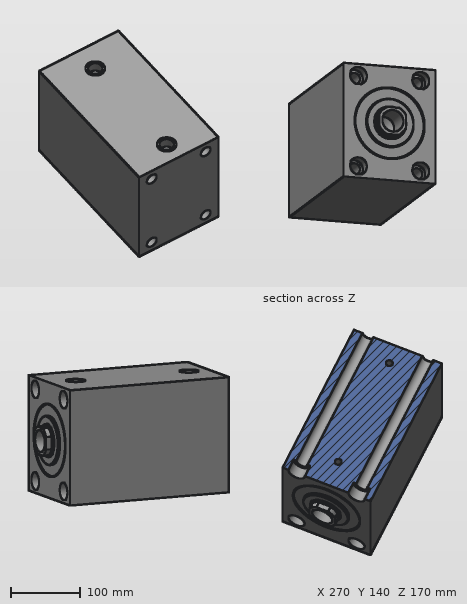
import cadquery as cq

OVERALL_LENGTH = 270.0

LENGTH = 255.0
WIDTH = 140.0
HEIGHT = 170.0
EDGE_CHAMFER = 0.5

BOLT_SPACING_Y = 95.0
BOLT_SPACING_Z = 135.0
BOLT_DIAMETER = 17.0
BOLT_HEAD_DIAMETER = 25.6
BOLT_HEAD_DEPTH = 19.0

PORT_POSITIONS = (42.0, 224.0)
SPOT_FACE_DIAMETER = 28.0
SPOT_FACE_DEPTH = 0.3
PORT_DIAMETER = 21.0
PORT_DEPTH = 16.2
PASSAGE_DIAMETER = 9.2

BORE_DIAMETER = 100.0
BORE_END = 239.8
GLAND_DIAMETER = 104.5
GLAND_LENGTH = PORT_POSITIONS[0]
SEAT_CHAMFER = 1.4

COLLAR_DIAMETER = 72.0
COLLAR_HEIGHT = 3.5
COLLAR_CHAMFER = 1.0
WIPER_DIAMETER = 48.5
WIPER_DEPTH = 2.7

ROD_DIAMETER = 45.0
HEAD_DIAMETER = 44.5
ROD_OVERHANG = OVERALL_LENGTH - LENGTH
FLATS_LENGTH = 9.2
ACROSS_FLATS = 40.5
SOCKET_DIAMETER = 32.0
SOCKET_DEPTH = 43.2
SOCKET_TIP_DEPTH = 9.2


def cylinder_x(diameter, start, end):
    """Solid cylinder on the X axis between two X positions."""
    return cq.Workplane("YZ", origin=(start, 0, 0)).circle(diameter / 2).extrude(end - start)


def cylinder_down(diameter, x, top, depth):
    """Solid vertical cylinder that goes down from a given height."""
    return cq.Workplane("XY", origin=(x, 0, top)).circle(diameter / 2).extrude(-depth)


def make_housing():
    """Block with bolt holes, oil ports and the stepped bore for the gland and the piston."""
    block = cq.Workplane("XY").box(LENGTH, WIDTH, HEIGHT).translate((LENGTH / 2, 0, 0))
    block = block.edges("|X").chamfer(EDGE_CHAMFER)
    block = (
        block.faces("<X").workplane(origin=(0, 0, 0))
        .rect(BOLT_SPACING_Y, BOLT_SPACING_Z, forConstruction=True).vertices()
        .cboreHole(BOLT_DIAMETER, BOLT_HEAD_DIAMETER, BOLT_HEAD_DEPTH)
    )
    for x in PORT_POSITIONS:
        block = block.cut(cylinder_down(SPOT_FACE_DIAMETER, x, HEIGHT / 2, SPOT_FACE_DEPTH))
        block = block.cut(cylinder_down(PORT_DIAMETER, x, HEIGHT / 2, PORT_DEPTH))
        block = block.cut(cylinder_down(PASSAGE_DIAMETER, x, HEIGHT / 2, HEIGHT / 2))
    block = block.cut(cylinder_x(GLAND_DIAMETER, 0, GLAND_LENGTH))
    block = block.cut(cylinder_x(BORE_DIAMETER, GLAND_LENGTH, BORE_END))
    seat_rim = block.faces("<X").edges(cq.selectors.RadiusNthSelector(-1))
    return seat_rim.chamfer(SEAT_CHAMFER)


def make_gland():
    """Plug with a raised front collar and a hole that guides the rod."""
    plug = cylinder_x(GLAND_DIAMETER, 0, GLAND_LENGTH)
    collar = cylinder_x(COLLAR_DIAMETER, -COLLAR_HEIGHT, 0).faces("<X").chamfer(COLLAR_CHAMFER)
    wiper_recess = cylinder_x(WIPER_DIAMETER, -COLLAR_HEIGHT, -COLLAR_HEIGHT + WIPER_DEPTH)
    rod_hole = cylinder_x(ROD_DIAMETER, -COLLAR_HEIGHT, GLAND_LENGTH)
    return plug.union(collar).cut(wiper_recess).cut(rod_hole)


def make_rod():
    """Rod with its wrench-flat head and drilled socket, in one piece with the piston."""
    tip = -ROD_OVERHANG
    shoulder = tip + FLATS_LENGTH
    shaft = cylinder_x(ROD_DIAMETER, shoulder, GLAND_LENGTH)
    square = (
        cq.Workplane("YZ", origin=(tip, 0, 0))
        .rect(ACROSS_FLATS, ACROSS_FLATS)
        .extrude(FLATS_LENGTH)
    )
    head = cylinder_x(HEAD_DIAMETER, tip, shoulder).intersect(square)
    piston = cylinder_x(BORE_DIAMETER, GLAND_LENGTH, BORE_END)
    socket_radius = SOCKET_DIAMETER / 2
    socket = (
        cq.Workplane("XZ")
        .moveTo(tip, 0)
        .lineTo(tip, socket_radius)
        .lineTo(tip + SOCKET_DEPTH, socket_radius)
        .lineTo(tip + SOCKET_DEPTH + SOCKET_TIP_DEPTH, 0)
        .close()
        .revolve(360, (0, 0, 0), (1, 0, 0))
    )
    return shaft.union(head).union(piston).cut(socket)


housing = make_housing().solids()
gland = make_gland().solids()
rod = make_rod().solids()

result = cq.Compound.makeCompound([housing.val(), gland.val(), rod.val()])